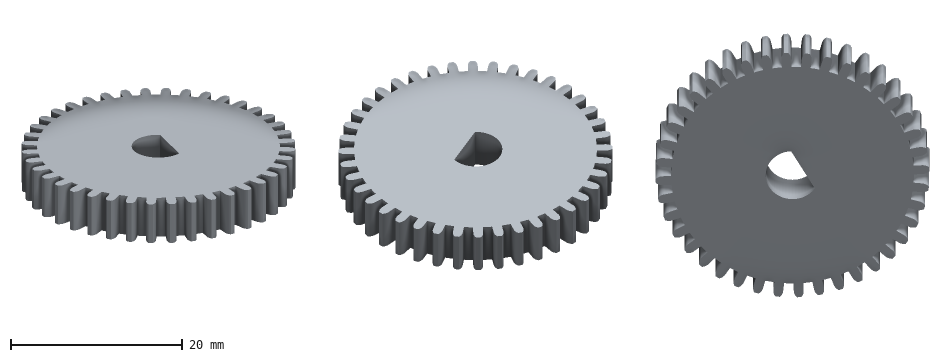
import cadquery as cq
import math

OUTER_DIAMETER = 32.0
THICKNESS = 5.0
ROOT_RADIUS = 14.18

TOOTH_COUNT = 40
TOOTH_WIDTH = 1.15
LAND_WIDTH = 0.5
FLANK_CURVE_RADIUS = 1.12

BORE_RADIUS = 3.15
FLAT_OFFSET = 1.4

tip_radius = OUTER_DIAMETER / 2
tooth_half_width = TOOTH_WIDTH / 2
land_half_width = LAND_WIDTH / 2
land_edge = math.sqrt(tip_radius**2 - land_half_width**2)
flank_root = math.sqrt(ROOT_RADIUS**2 - tooth_half_width**2)

curve_sweep = math.acos(1 - (tooth_half_width - land_half_width) / FLANK_CURVE_RADIUS)
curve_start = land_edge - FLANK_CURVE_RADIUS * math.sin(curve_sweep)
curve_middle = curve_start + FLANK_CURVE_RADIUS * math.sin(curve_sweep / 2)
curve_middle_half_width = tooth_half_width - FLANK_CURVE_RADIUS * (1 - math.cos(curve_sweep / 2))

pitch_angle = 2 * math.pi / TOOTH_COUNT


def turned(radial, sideways, angle):
    """Point on a tooth centred at the given angle: distance out along the tooth and across it."""
    x = radial * math.cos(angle) - sideways * math.sin(angle)
    y = radial * math.sin(angle) + sideways * math.cos(angle)
    return (x, y)


def gear_blank():
    """Toothed disc standing on the XY plane, with one tooth centred on +X."""
    outline = cq.Workplane("XY").moveTo(*turned(flank_root, -tooth_half_width, 0))
    for tooth in range(TOOTH_COUNT):
        angle = tooth * pitch_angle
        next_angle = (tooth + 1) * pitch_angle
        gap_middle = turned(ROOT_RADIUS, 0, angle + pitch_angle / 2)
        next_tooth_start = turned(flank_root, -tooth_half_width, next_angle)
        outline = (
            outline.lineTo(*turned(curve_start, -tooth_half_width, angle))
            .threePointArc(
                turned(curve_middle, -curve_middle_half_width, angle),
                turned(land_edge, -land_half_width, angle),
            )
            .threePointArc(
                turned(tip_radius, 0, angle),
                turned(land_edge, land_half_width, angle),
            )
            .threePointArc(
                turned(curve_middle, curve_middle_half_width, angle),
                turned(curve_start, tooth_half_width, angle),
            )
            .lineTo(*turned(flank_root, tooth_half_width, angle))
            .threePointArc(gap_middle, next_tooth_start)
        )
    return outline.close().extrude(THICKNESS)


def shaft_bore():
    """D-shaped cutter through the full thickness."""
    flat_half_length = math.sqrt(BORE_RADIUS**2 - FLAT_OFFSET**2)
    return (
        cq.Workplane("XY")
        .moveTo(flat_half_length, FLAT_OFFSET)
        .lineTo(-flat_half_length, FLAT_OFFSET)
        .threePointArc((0, -BORE_RADIUS), (flat_half_length, FLAT_OFFSET))
        .close()
        .extrude(THICKNESS)
    )


result = gear_blank().cut(shaft_bore())